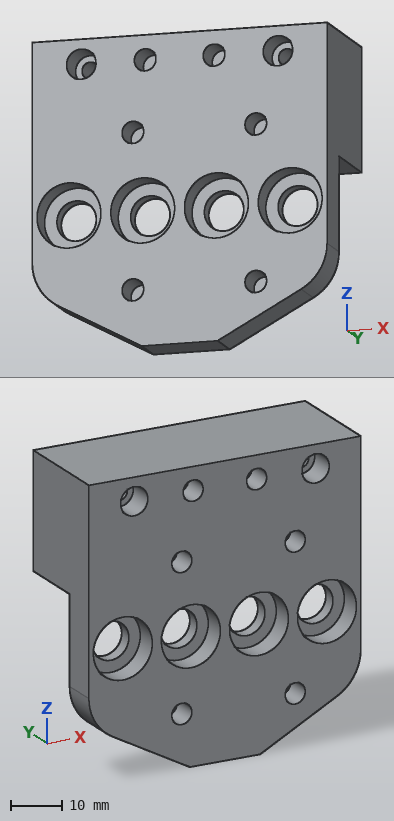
import cadquery as cq

WIDTH = 60.0
HEIGHT = 62.0
DEPTH = 23.0
HEAD_HEIGHT = 25.0
PLATE_THICKNESS = 8.0

TAPER_HEIGHT = 12.0
TIP_WIDTH = 15.5
CORNER_RADIUS = 10.0

BOLT_COUNT = 4
BOLT_PITCH = 15.0
BOLT_ROW_Z = -35.0
BOLT_DIAMETER = 8.0
BOLT_HEAD_DIAMETER = 13.0
BOLT_HEAD_DEPTH = 5.0

TOP_ROW_Z = -5.0
SCREW_SPACING = 40.0
SCREW_DIAMETER = 3.4
SCREW_HEAD_DIAMETER = 6.0
SCREW_HEAD_DEPTH = 6.0
TOP_BLIND_SPACING = 14.0

PATTERN_CENTER_X = 3.0
PATTERN_WIDTH = 25.0
PATTERN_HEIGHT = 31.4

BLIND_DIAMETER = 4.4
BLIND_DEPTH = 6.0


def pair(spacing, center=0.0):
    """Two positions placed symmetrically about a centre."""
    return [center - spacing / 2, center + spacing / 2]


def row(count, pitch):
    """Evenly pitched positions centred on zero."""
    return [(i - (count - 1) / 2) * pitch for i in range(count)]


def bore(points, diameter, depth):
    """Cylinders running from the front face into the part, at (x, z) points."""
    return cq.Workplane("XZ").pushPoints(points).circle(diameter / 2).extrude(-depth)


def make_plate():
    """Full-height plate with a tapered lower end and rounded shoulders."""
    shoulder_z = TAPER_HEIGHT - HEIGHT
    plate = (
        cq.Workplane("XZ")
        .moveTo(-WIDTH / 2, 0)
        .lineTo(WIDTH / 2, 0)
        .lineTo(WIDTH / 2, shoulder_z)
        .lineTo(TIP_WIDTH / 2, -HEIGHT)
        .lineTo(-TIP_WIDTH / 2, -HEIGHT)
        .lineTo(-WIDTH / 2, shoulder_z)
        .close()
        .extrude(-PLATE_THICKNESS)
    )
    return plate.edges("|Y").edges(">>Z[1]").fillet(CORNER_RADIUS)


def make_head():
    """Solid block across the upper part of the plate."""
    block = cq.Workplane("XY").box(WIDTH, DEPTH, HEAD_HEIGHT, centered=(True, False, False))
    return block.translate((0, 0, -HEAD_HEIGHT))


def cut_bolt_holes(body):
    """Row of through holes with wide head recesses in the front face."""
    points = [(x, BOLT_ROW_Z) for x in row(BOLT_COUNT, BOLT_PITCH)]
    body = body.cut(bore(points, BOLT_DIAMETER, PLATE_THICKNESS))
    return body.cut(bore(points, BOLT_HEAD_DIAMETER, BOLT_HEAD_DEPTH))


def cut_screw_holes(body):
    """Two small counterbored holes through the full depth of the head."""
    points = [(x, TOP_ROW_Z) for x in pair(SCREW_SPACING)]
    body = body.cut(bore(points, SCREW_DIAMETER, DEPTH))
    return body.cut(bore(points, SCREW_HEAD_DIAMETER, SCREW_HEAD_DEPTH))


def cut_blind_holes(body):
    """Two blind holes in the top row and four around the bolt row."""
    top_points = [(x, TOP_ROW_Z) for x in pair(TOP_BLIND_SPACING)]
    pattern_points = [
        (x, z)
        for x in pair(PATTERN_WIDTH, PATTERN_CENTER_X)
        for z in pair(PATTERN_HEIGHT, BOLT_ROW_Z)
    ]
    return body.cut(bore(top_points + pattern_points, BLIND_DIAMETER, BLIND_DEPTH))


body = make_plate().union(make_head())
body = cut_bolt_holes(body)
body = cut_screw_holes(body)
result = cut_blind_holes(body)